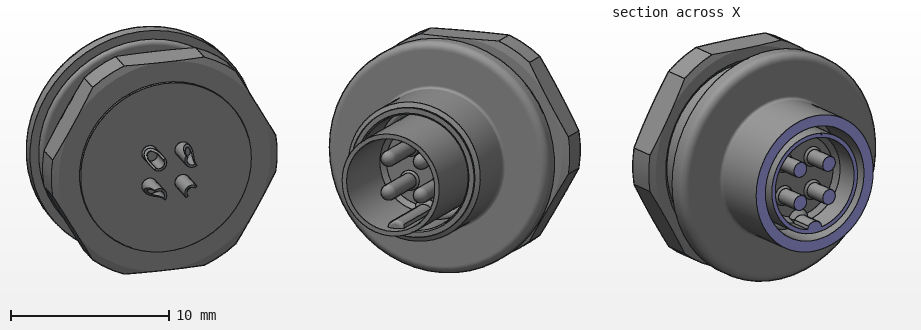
import cadquery as cq
import math

TOTAL_LENGTH = 15.9

SHELL_D = 6.6
SHELL_BORE_D = 6.0
INSULATOR_FACE_X = 6.0
INSULATOR_FACE_D = 5.36

SLEEVE_X = 3.69
SLEEVE_D = 9.0
SLEEVE_NOSE_D = 8.38
SLEEVE_NOSE_BACK_X = 3.85
SLEEVE_CONE_BACK_X = 3.99
SLEEVE_BORE_D = 7.5
SLEEVE_BORE_CHAMFER = 0.1
SLEEVE_ROOT_FILLET = 0.19

SEAL_X = 7.31
SEAL_RADIUS = 0.35
SEAL_OVERLAP = 0.03
SEAL_CENTRE_R = SHELL_D / 2 + SEAL_RADIUS - SEAL_OVERLAP

FLANGE_X = 7.92
FLANGE_BACK_X = 9.13
FLANGE_D = 15.0
FLANGE_FILLET = 0.5
LIP_BACK_X = 9.48
LIP_D = 13.83
LIP_FILLET = 0.3

THREAD_D = 12.0
NUT_X = 11.6
NUT_BACK_X = 13.66
REAR_DISC_X = 13.88
REAR_DISC_D = 11.32

NUT_ACROSS_FLATS = 14.02
NUT_CORNER_D = FLANGE_D
NUT_END_D = NUT_ACROSS_FLATS
NUT_CORNER_LENGTH = 0.13
NUT_COUNTERSINK_D = 12.56

PIN_D = 1.0
PIN_TIP_X = 1.94
PIN_OFFSET = 1.1
PIN_COLLAR_D = 1.3
CUP_BORE_D = 0.7
CUP_BORE_X = 14.39
CUP_CUT_X = 14.21
CUP_CUT_PAST_AXIS = 0.06

KEY_FRONT_X = 0.83
KEY_WIDTH = 0.99
KEY_BASE_WIDTH = 1.11
KEY_TOP_Z = -2.5
KEY_SHOULDER_Z = -2.73
KEY_BASE_Z = -2.95
KEY_FOOT_Z = -3.21
KEY_NOSE_FILLET = 0.24
KEY_ROOT_LENGTH = 0.32
KEY_ROOT_WIDTH = 1.46
KEY_ROOT_TOP_Z = -2.18
KEY_ROOT_SHOULDER_Z = -2.69


def cylinder(start_x, end_x, diameter, y=0.0, z=0.0):
    """Solid cylinder parallel to X."""
    plane = cq.Workplane("YZ", origin=(start_x, y, z))
    return plane.circle(diameter / 2).extrude(end_x - start_x)


def cone(start_x, end_x, start_d, end_d, y=0.0, z=0.0):
    """Solid truncated cone parallel to X."""
    height = end_x - start_x
    return cq.Workplane(cq.Solid.makeCone(
        start_d / 2, end_d / 2, height, cq.Vector(start_x, y, z), cq.Vector(1, 0, 0)))


def make_body():
    sleeve = cylinder(SLEEVE_X, SLEEVE_CONE_BACK_X, SLEEVE_NOSE_D)
    sleeve = sleeve.union(cone(SLEEVE_NOSE_BACK_X, SLEEVE_CONE_BACK_X, SLEEVE_NOSE_D, SLEEVE_D))
    sleeve = sleeve.union(cylinder(SLEEVE_CONE_BACK_X, FLANGE_X, SLEEVE_D))
    flange = cylinder(FLANGE_X, FLANGE_BACK_X, FLANGE_D).faces("<X").edges().fillet(FLANGE_FILLET)
    lip = cylinder(FLANGE_BACK_X, LIP_BACK_X, LIP_D).faces(">X").edges().fillet(LIP_FILLET)
    body = sleeve.union(flange)
    front_face = body.faces(cq.selectors.NearestToPointSelector((FLANGE_X, 0, (SLEEVE_D + FLANGE_D) / 4)))
    body = front_face.edges(cq.selectors.RadiusNthSelector(0)).fillet(SLEEVE_ROOT_FILLET)
    body = body.union(lip)
    body = body.union(cylinder(LIP_BACK_X, NUT_BACK_X, THREAD_D))
    return body.union(cylinder(NUT_BACK_X, REAR_DISC_X, REAR_DISC_D))


def cut_seal_gap(body):
    """Open the sleeve bore and leave a rounded sealing ring at its bottom."""
    mouth_d = SLEEVE_BORE_D + 2 * SLEEVE_BORE_CHAMFER
    mouth = cone(SLEEVE_X, SLEEVE_X + SLEEVE_BORE_CHAMFER, mouth_d, SLEEVE_BORE_D)
    body = body.cut(cylinder(SLEEVE_X, SEAL_X, SLEEVE_BORE_D)).cut(mouth)
    seal = cq.Workplane(cq.Solid.makeTorus(
        SEAL_CENTRE_R, SEAL_RADIUS, cq.Vector(SEAL_X, 0, 0), cq.Vector(1, 0, 0)))
    return body.union(seal)


def make_nut():
    across_corners = NUT_ACROSS_FLATS / math.cos(math.pi / 6)
    hexagon = cq.Workplane("YZ", origin=(NUT_X, 0, 0)).polygon(6, across_corners)
    hexagon = hexagon.extrude(NUT_BACK_X - NUT_X)
    corner_depth = (NUT_CORNER_D - NUT_END_D) / 2
    turned = cylinder(NUT_X, NUT_BACK_X, NUT_CORNER_D)
    turned = turned.faces("<X").chamfer(NUT_CORNER_LENGTH, corner_depth)
    turned = turned.faces(">X").chamfer(NUT_CORNER_LENGTH, corner_depth)
    countersink_depth = (NUT_COUNTERSINK_D - THREAD_D) / 2
    countersink = cone(NUT_X, NUT_X + countersink_depth, NUT_COUNTERSINK_D, THREAD_D)
    return hexagon.intersect(turned).cut(countersink)


def cut_shell_bore(body):
    """Bore the shell down to a dished insulator face."""
    dish_start_x = INSULATOR_FACE_X - (SHELL_BORE_D - INSULATOR_FACE_D) / 2
    body = body.cut(cylinder(0, dish_start_x, SHELL_BORE_D))
    return body.cut(cone(dish_start_x, INSULATOR_FACE_X, SHELL_BORE_D, INSULATOR_FACE_D))


def key_outline(sketch, width, top_z, shoulder_z):
    """Closed key section: arched top, sloping sides and a foot sunk into the shell wall."""
    half_width = width / 2
    half_base = KEY_BASE_WIDTH / 2
    return (
        sketch.moveTo(-half_base, KEY_FOOT_Z)
        .lineTo(-half_base, KEY_BASE_Z)
        .lineTo(-half_width, shoulder_z)
        .threePointArc((0, top_z), (half_width, shoulder_z))
        .lineTo(half_base, KEY_BASE_Z)
        .lineTo(half_base, KEY_FOOT_Z)
        .close()
    )


def make_key():
    """Arched key along the bottom of the shell bore, with a rounded nose and a flared root."""
    front = cq.Workplane("YZ", origin=(KEY_FRONT_X, 0, 0))
    key = key_outline(front, KEY_WIDTH, KEY_TOP_Z, KEY_SHOULDER_Z)
    key = key.extrude(INSULATOR_FACE_X - KEY_FRONT_X)
    key = key.faces("<X").edges(">Z").fillet(KEY_NOSE_FILLET)
    root = cq.Workplane("YZ", origin=(INSULATOR_FACE_X - KEY_ROOT_LENGTH, 0, 0))
    root = key_outline(root, KEY_WIDTH, KEY_TOP_Z, KEY_SHOULDER_Z).workplane(offset=KEY_ROOT_LENGTH)
    root = key_outline(root, KEY_ROOT_WIDTH, KEY_ROOT_TOP_Z, KEY_ROOT_SHOULDER_Z).loft(ruled=True)
    return key.union(root)


def make_pin(side_y, side_z):
    """Contact pin with a domed tip, a bevelled collar and an outward-facing solder cup."""
    y = side_y * PIN_OFFSET
    z = side_z * PIN_OFFSET
    radius = PIN_D / 2
    collar_height = (PIN_COLLAR_D - PIN_D) / 2
    pin = cylinder(PIN_TIP_X + radius, TOTAL_LENGTH, PIN_D, y, z)
    pin = pin.union(cq.Workplane("XY").sphere(radius).translate((PIN_TIP_X + radius, y, z)))
    pin = pin.union(cone(INSULATOR_FACE_X - collar_height, INSULATOR_FACE_X, PIN_D, PIN_COLLAR_D, y, z))
    pin = pin.cut(cylinder(CUP_BORE_X, TOTAL_LENGTH, CUP_BORE_D, y, z))

    cut_length = TOTAL_LENGTH - CUP_CUT_X
    cut_depth = radius + CUP_CUT_PAST_AXIS
    arc_radius = (cut_length ** 2 + cut_depth ** 2) / (2 * cut_depth)
    middle_x = cut_length / 2
    middle_height = arc_radius - math.sqrt(arc_radius ** 2 - middle_x ** 2)
    outward = cq.Plane(origin=(TOTAL_LENGTH, y, z), xDir=(1, 0, 0), normal=(0, -side_z, side_y))
    scoop = (
        cq.Workplane(outward)
        .moveTo(0, -CUP_CUT_PAST_AXIS)
        .threePointArc((-middle_x, middle_height - CUP_CUT_PAST_AXIS), (-cut_length, radius))
        .lineTo(-cut_length, PIN_D)
        .lineTo(0, PIN_D)
        .close()
        .extrude(PIN_D, both=True)
    )
    return pin.cut(scoop)


body = cut_seal_gap(make_body())
body = body.union(cylinder(0, FLANGE_BACK_X, SHELL_D))
body = cut_shell_bore(body).union(make_nut()).union(make_key())
for side_y in (-1, 1):
    for side_z in (-1, 1):
        body = body.union(make_pin(side_y, side_z))

result = body